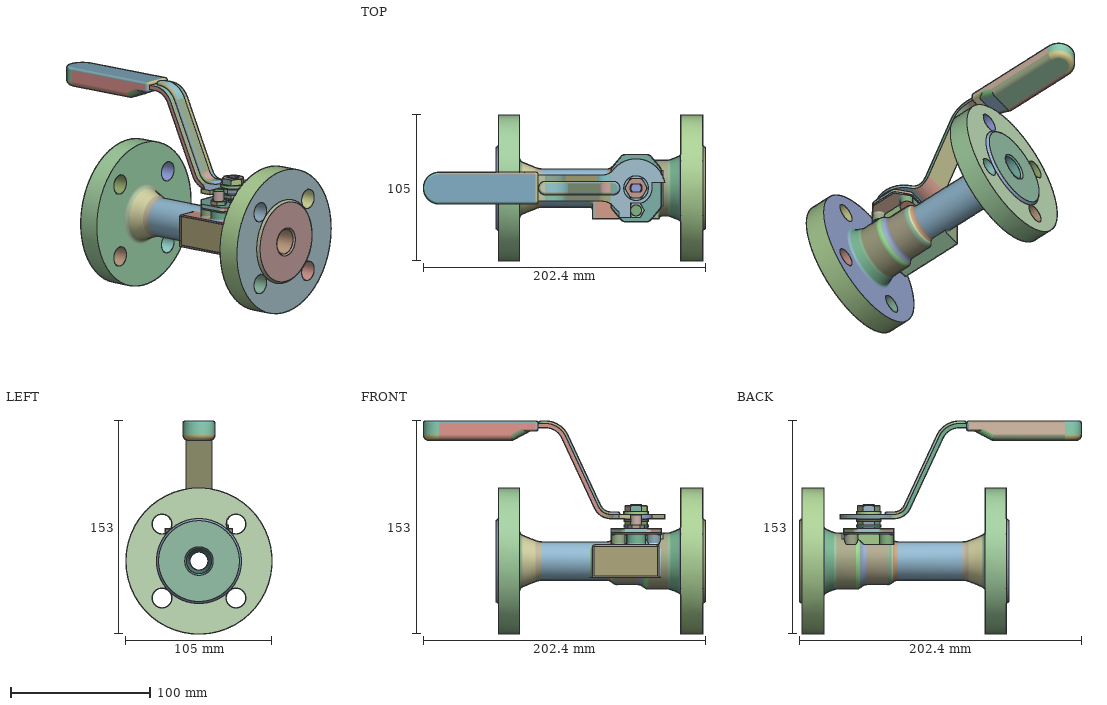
import cadquery as cq
import math


FLANGE_DIAMETER = 105.0
RAISED_FACE_DIAMETER = 58.0
RAISED_FACE_HEIGHT = 1.9
RAISED_FACE_FLARE = 1.5
RIGHT_FACE_X = 49.8
FACE_TO_FACE = 150.4
LEFT_FACE_X = RIGHT_FACE_X - FACE_TO_FACE
LEFT_FLANGE_BACK_X = -83.5
RIGHT_FLANGE_BACK_X = 32.0
BOLT_CIRCLE_DIAMETER = 75.0
BOLT_HOLE_DIAMETER = 14.0
BOLT_COUNT = 4

PIPE_DIAMETER = 27.7
MIDDLE_DIAMETER = 34.0
RIGHT_BODY_DIAMETER = 40.3
HUB_ANGLE = 22.0
LEFT_ROOT_FILLET = 3.5
RIGHT_ROOT_FILLET = 2.5
LEFT_HUB_END_X = -69.7
LEFT_HUB_FILLET = 12.0
RIGHT_HUB_START_X = 23.9
RIGHT_HUB_FILLET = 5.0
MIDDLE_RAMP_X = (-19.0, -15.2)
RIGHT_RAMP_X = (3.2, 7.3)
RAMP_FILLET = 5.0

BORE_DIAMETER = 12.78
BORE_MOUTH_DIAMETER = 18.1
BORE_CHAMFER = 1.2
BORE_TAPER_LENGTH = 60.0

BLOCK_X = (-31.4, 16.6)
BLOCK_Z = (-11.9, 11.7)
BLOCK_FRONT_Y = -22.1
BLOCK_TOP_FILLET = 2.0
BLOCK_ROOT_FILLET = 1.5
NAMEPLATE_MARGIN = 1.2
NAMEPLATE_DEPTH = 0.4

PLATE_HALF_X = 18.1
PLATE_HALF_Y = 24.2
PLATE_CORNER_X = 9.6
PLATE_CORNER_Y = 14.0
PLATE_CORNER_ROUND = 4.0
PLATE_EDGE_HEIGHT = 1.1
PLATE_EDGE_INSET = 0.5
PLATE_BOTTOM_Z = 19.3
PLATE_TOP_Z = 23.2
POST_OFFSET = 12.7
PAD_LEDGE_X = 19.3
PAD_LEDGE_TOP_Z = 20.3
POST_RADIUS = 4.9
STOP_BOSS_DIAMETER = 13.6
STOP_BOSS_Y = -14.0
POST_FLARE = 1.1

STOP_PIN_Y = -16.0
STOP_PIN_DIAMETER = 7.92
STOP_PIN_TOP_Z = 33.2
STOP_HEX_FLATS = 10.3
STOP_HEX_TOP_Z = 25.9

STEM_NUT_FLATS = 14.0
NUT_TOP_Z = 39.8
NUT_CHAMFER = 0.6
SPRING_WASHER_DIAMETER = 17.6
SPRING_WASHER_Z = ((24.6, 25.7), (28.5, 29.6))
TOP_WASHER_DIAMETER = 17.7
TOP_WASHER_HEIGHT = 2.1
STEM_DIAMETER = 9.5
STEM_FLATS = 5.6
STEM_TOP_Z = 40.4
STEM_CHAMFER = 1.0

OVERALL_LENGTH = 202.37
OVERALL_HEIGHT = 153.04
GRIP_TOP_Z = OVERALL_HEIGHT - FLANGE_DIAMETER / 2
GRIP_LEFT_X = RIGHT_FACE_X - OVERALL_LENGTH
GRIP_RIGHT_X = -70.2
GRIP_WIDTH = 23.0
GRIP_BOTTOM_Z = 86.5
GRIP_RAMP_X = (-88.7, -76.0)
GRIP_NECK_Z = 93.2
GRIP_TOP_FILLET = 1.8
GRIP_END_FILLET = 1.9
GRIP_NECK_FILLET = 1.5
GRIP_BOTTOM_FILLET = 4.0

LEVER_THICKNESS = 3.1
LEVER_WIDTH = 18.8
LEVER_ANGLE = 65.0
LEVER_BASE_TOP_Z = 33.4
RIB_HEIGHT = 1.9
RIB_WIDTH = 9.8
RIB_X = (-69.9, -11.6)
RIB_FILLET = 1.6
LEVER_END_TOP_Z = GRIP_TOP_Z - RIB_HEIGHT
LOWER_BEND_X = -18.0
LOWER_BEND_RADIUS = 10.0
UPPER_BEND_RADIUS = 16.0

HEAD_RADIUS = 21.0
HEAD_BLEND_RADIUS = 10.0
HEAD_STEP_Y = 4.0
HEAD_INNER_RADIUS = 11.4
HEAD_INNER_Y = -10.7
STOP_TAB_X = (-12.2, -3.9)
STOP_TAB_Y = -21.1


def box_between(x_range, y_range, z_range):
    """Box spanning the given coordinate ranges."""
    size = [high - low for low, high in (x_range, y_range, z_range)]
    corner = (x_range[0], y_range[0], z_range[0])
    return cq.Workplane("XY").box(*size, centered=False).translate(corner)


def cylinder(diameter, z_range, x=0.0, y=0.0):
    """Vertical cylinder between two heights."""
    base = cq.Workplane("XY", origin=(x, y, z_range[0]))
    return base.circle(diameter / 2).extrude(z_range[1] - z_range[0])


def across_corners(flats):
    """Size of a hexagon across its corners from its size across the flats."""
    return flats / math.cos(math.radians(30))


def hexagon(flats, z_range, y=0.0):
    """Vertical hexagonal prism with corners pointing along X."""
    base = cq.Workplane("XY", origin=(0, y, z_range[0]))
    return base.polygon(6, across_corners(flats)).extrude(z_range[1] - z_range[0])


def round_corner(before, corner, after, radius):
    """Start, middle and end points of the arc that rounds a corner of a polyline."""
    to_before = (cq.Vector(*before) - cq.Vector(*corner)).normalized()
    to_after = (cq.Vector(*after) - cq.Vector(*corner)).normalized()
    half_angle = to_before.getAngle(to_after) / 2
    setback = radius / math.tan(half_angle)
    bisector = (to_before + to_after).normalized()
    start = cq.Vector(*corner) + to_before * setback
    end = cq.Vector(*corner) + to_after * setback
    middle = cq.Vector(*corner) + bisector * (radius / math.sin(half_angle) - radius)
    return [(point.x, point.y) for point in (start, middle, end)]


def rounded_outline(corners):
    """Closed outline in XY from (x, y, corner radius) entries; radius 0 keeps the corner sharp."""
    points = [corner[:2] for corner in corners]
    outline = cq.Workplane("XY").moveTo(*points[0])
    for index in range(1, len(corners)):
        radius = corners[index][2]
        if radius == 0:
            outline = outline.lineTo(*points[index])
            continue
        following = points[(index + 1) % len(points)]
        start, middle, end = round_corner(points[index - 1], points[index], following, radius)
        outline = outline.lineTo(*start).threePointArc(middle, end)
    return outline.close()


def make_body():
    """Both flanges, their hubs and the stepped pipe, turned about the X axis."""
    slope = math.tan(math.radians(HUB_ANGLE))
    flange_r = FLANGE_DIAMETER / 2
    face_r = RAISED_FACE_DIAMETER / 2
    flared_r = face_r + RAISED_FACE_FLARE
    pipe_r = PIPE_DIAMETER / 2
    middle_r = MIDDLE_DIAMETER / 2
    right_r = RIGHT_BODY_DIAMETER / 2
    left_root_r = pipe_r + (LEFT_HUB_END_X - LEFT_FLANGE_BACK_X) * slope
    right_root_r = right_r + (RIGHT_FLANGE_BACK_X - RIGHT_HUB_START_X) * slope
    left_flange_x = LEFT_FACE_X + RAISED_FACE_HEIGHT
    right_flange_x = RIGHT_FACE_X - RAISED_FACE_HEIGHT
    profile = rounded_outline([
        (LEFT_FACE_X, 0, 0),
        (LEFT_FACE_X, face_r, 0),
        (left_flange_x, flared_r, 0),
        (left_flange_x, flange_r, 0),
        (LEFT_FLANGE_BACK_X, flange_r, 0),
        (LEFT_FLANGE_BACK_X, left_root_r, LEFT_ROOT_FILLET),
        (LEFT_HUB_END_X, pipe_r, LEFT_HUB_FILLET),
        (MIDDLE_RAMP_X[0], pipe_r, RAMP_FILLET),
        (MIDDLE_RAMP_X[1], middle_r, RAMP_FILLET),
        (RIGHT_RAMP_X[0], middle_r, RAMP_FILLET),
        (RIGHT_RAMP_X[1], right_r, RAMP_FILLET),
        (RIGHT_HUB_START_X, right_r, RIGHT_HUB_FILLET),
        (RIGHT_FLANGE_BACK_X, right_root_r, RIGHT_ROOT_FILLET),
        (RIGHT_FLANGE_BACK_X, flange_r, 0),
        (right_flange_x, flange_r, 0),
        (right_flange_x, flared_r, 0),
        (RIGHT_FACE_X, face_r, 0),
        (RIGHT_FACE_X, 0, 0),
    ])
    return profile.revolve(360, (0, 0, 0), (1, 0, 0))


def make_bore():
    """Through bore that narrows from a chamfered mouth at each end."""
    bore_r = BORE_DIAMETER / 2
    mouth_r = BORE_MOUTH_DIAMETER / 2
    profile = cq.Workplane("XY").polyline([
        (LEFT_FACE_X, 0),
        (LEFT_FACE_X, mouth_r + BORE_CHAMFER),
        (LEFT_FACE_X + BORE_CHAMFER, mouth_r),
        (LEFT_FACE_X + BORE_TAPER_LENGTH, bore_r),
        (RIGHT_FACE_X - BORE_TAPER_LENGTH, bore_r),
        (RIGHT_FACE_X - BORE_CHAMFER, mouth_r),
        (RIGHT_FACE_X, mouth_r + BORE_CHAMFER),
        (RIGHT_FACE_X, 0),
    ]).close()
    return profile.revolve(360, (0, 0, 0), (1, 0, 0))


def make_bolt_holes():
    """Flange bolt holes, straddling the vertical centre line."""
    holes = cq.Workplane("YZ", origin=(LEFT_FACE_X, 0, 0))
    holes = holes.polarArray(BOLT_CIRCLE_DIAMETER / 2, 180 / BOLT_COUNT, 360, BOLT_COUNT)
    return holes.circle(BOLT_HOLE_DIAMETER / 2).extrude(FACE_TO_FACE)


def make_nameplate_block():
    """Rectangular block on the -Y side with a shallow recess in its front face."""
    block = box_between(BLOCK_X, (BLOCK_FRONT_Y, 0), BLOCK_Z)
    block = block.faces(">Z").edges("|Y").fillet(BLOCK_TOP_FILLET)
    recess = box_between(
        (BLOCK_X[0] + NAMEPLATE_MARGIN, BLOCK_X[1] - NAMEPLATE_MARGIN),
        (BLOCK_FRONT_Y, BLOCK_FRONT_Y + NAMEPLATE_DEPTH),
        (BLOCK_Z[0] + NAMEPLATE_MARGIN, BLOCK_Z[1] - NAMEPLATE_MARGIN),
    )
    return block.cut(recess)


def make_flanged_body():
    """Turned body with its nameplate block blended in, its bore and its flange bolt holes."""
    body = make_body().union(make_nameplate_block())
    for end_x in BLOCK_X:
        end_box = cq.selectors.BoxSelector(
            (end_x - BLOCK_TOP_FILLET, BLOCK_FRONT_Y + BLOCK_ROOT_FILLET, BLOCK_Z[0]),
            (end_x + BLOCK_TOP_FILLET, 0, BLOCK_Z[1]),
        )
        body = body.edges(end_box).edges("%CIRCLE or %BSPLINE").fillet(BLOCK_ROOT_FILLET)
    return body.cut(make_bore()).cut(make_bolt_holes())


def flare(diameter, x, y, z, direction):
    """Concave collar blending a post into a flat face, above it (direction +1) or below it (-1)."""
    post_r = diameter / 2
    arc_depth = POST_FLARE * (1 - math.sqrt(0.5))
    profile = (
        cq.Workplane("XZ")
        .lineTo(post_r + POST_FLARE, 0)
        .threePointArc((post_r + arc_depth, direction * arc_depth), (post_r, direction * POST_FLARE))
        .lineTo(0, direction * POST_FLARE)
        .close()
    )
    return profile.revolve(360, (0, 0, 0), (0, 1, 0)).translate((x, y, z))


def plate_prism(z_range):
    """Vertical prism over the eight-sided, corner-rounded outline of the stop plate."""
    upper_right = [(PLATE_HALF_X, PLATE_CORNER_Y), (PLATE_CORNER_X, PLATE_HALF_Y)]
    right = [(x, -y) for x, y in reversed(upper_right)] + upper_right
    corners = right + [(-x, -y) for x, y in right]
    base = cq.Workplane("XY", origin=(0, 0, z_range[0])).polyline(corners).close()
    return base.extrude(z_range[1] - z_range[0]).edges("|Z").fillet(PLATE_CORNER_ROUND)


def make_mounting_pad():
    """Pad with four corner posts and a boss for the stop bolt, carrying the stop plate."""
    pad_z = (BLOCK_Z[1], PLATE_BOTTOM_Z)
    pad = box_between((-PLATE_HALF_X, PLATE_HALF_X), (-POST_OFFSET, POST_OFFSET), pad_z)
    post_diameter = 2 * POST_RADIUS
    columns = [(STOP_BOSS_DIAMETER, 0, STOP_BOSS_Y)]
    for side_x in (-1, 1):
        for side_y in (-1, 1):
            columns.append((post_diameter, side_x * POST_OFFSET, side_y * POST_OFFSET))
    for diameter, x, y in columns:
        pad = pad.union(cylinder(diameter, pad_z, x, y))
        pad = pad.union(flare(diameter, x, y, PLATE_BOTTOM_Z, -1))
        if y < 0:
            pad = pad.union(flare(diameter, x, y, BLOCK_Z[1], 1))
    pad = pad.intersect(plate_prism(pad_z))

    ledge_z = (BLOCK_Z[1], PAD_LEDGE_TOP_Z)
    ledge = box_between((0, PAD_LEDGE_X), (-POST_OFFSET, POST_OFFSET), ledge_z)
    plate = plate_prism((PLATE_BOTTOM_Z, PLATE_TOP_Z))
    plate = plate.faces("<Z").chamfer(PLATE_EDGE_HEIGHT, PLATE_EDGE_INSET)
    return pad.union(ledge).union(plate)


def make_stop_bolt():
    """Hexagon-collared pin that limits the swing of the lever."""
    collar = hexagon(STOP_HEX_FLATS, (PLATE_BOTTOM_Z, STOP_HEX_TOP_Z), STOP_PIN_Y)
    return collar.union(cylinder(STOP_PIN_DIAMETER, (PLATE_BOTTOM_Z, STOP_PIN_TOP_Z), 0, STOP_PIN_Y))


def make_stem():
    """Stem with two flats, its nuts and its washers."""
    nut_z = (PLATE_BOTTOM_Z, NUT_TOP_Z)
    nut_envelope = cylinder(across_corners(STEM_NUT_FLATS), nut_z).faces(">Z").chamfer(NUT_CHAMFER)
    nut = hexagon(STEM_NUT_FLATS, nut_z).intersect(nut_envelope)
    washer_top_z = LEVER_BASE_TOP_Z + TOP_WASHER_HEIGHT
    stem = nut.union(cylinder(TOP_WASHER_DIAMETER, (LEVER_BASE_TOP_Z, washer_top_z)))
    for z_range in SPRING_WASHER_Z:
        stem = stem.union(cylinder(SPRING_WASHER_DIAMETER, z_range))
    tip = cylinder(STEM_DIAMETER, (PLATE_TOP_Z, STEM_TOP_Z)).faces(">Z").chamfer(STEM_CHAMFER)
    flats_y = (-STEM_FLATS / 2, STEM_FLATS / 2)
    tip = tip.intersect(box_between((-STEM_DIAMETER, STEM_DIAMETER), flats_y, (0, STEM_TOP_Z)))
    return stem.union(tip)


def lever_band(bottom_offset, top_offset, x_range):
    """Bent strip between two offsets from the upper lever surface, wider than the lever head."""
    angle = math.radians(LEVER_ANGLE)
    lower_center = (LOWER_BEND_X, LEVER_BASE_TOP_Z + LOWER_BEND_RADIUS)
    upper_center_z = LEVER_END_TOP_Z - UPPER_BEND_RADIUS
    radius_sum = LOWER_BEND_RADIUS + UPPER_BEND_RADIUS
    center_rise = upper_center_z - lower_center[1]
    straight_rise = center_rise + radius_sum * math.cos(angle)
    center_run = radius_sum * math.sin(angle) + straight_rise / math.tan(angle)
    upper_center = (LOWER_BEND_X - center_run, upper_center_z)

    def on_bend(center, radius, turn):
        return (center[0] + radius * math.sin(turn), center[1] + radius * math.cos(turn))

    def bend_points(offset):
        upper = [on_bend(upper_center, UPPER_BEND_RADIUS + offset, turn) for turn in (0, angle / 2, angle)]
        turns = (math.pi + angle, math.pi + angle / 2, math.pi)
        lower = [on_bend(lower_center, LOWER_BEND_RADIUS - offset, turn) for turn in turns]
        return upper, lower

    top_upper, top_lower = bend_points(top_offset)
    bottom_upper, bottom_lower = bend_points(bottom_offset)
    left_x, right_x = x_range
    side = (
        cq.Workplane("XZ")
        .moveTo(left_x, LEVER_END_TOP_Z + top_offset)
        .lineTo(*top_upper[0])
        .threePointArc(*top_upper[1:])
        .lineTo(*top_lower[0])
        .threePointArc(*top_lower[1:])
        .lineTo(right_x, LEVER_BASE_TOP_Z + top_offset)
        .lineTo(right_x, LEVER_BASE_TOP_Z + bottom_offset)
        .lineTo(*bottom_lower[2])
        .threePointArc(bottom_lower[1], bottom_lower[0])
        .lineTo(*bottom_upper[2])
        .threePointArc(bottom_upper[1], bottom_upper[0])
        .lineTo(left_x, LEVER_END_TOP_Z + bottom_offset)
        .close()
    )
    return side.extrude(2 * HEAD_RADIUS, both=True)


def on_circle(radius, x=None, y=None, sign=1):
    """Point on a circle about the stem with one given coordinate; sign picks the other one's side."""
    if y is None:
        return (x, sign * math.sqrt(radius**2 - x**2))
    return (sign * math.sqrt(radius**2 - y**2), y)


def make_lever():
    """Bent lever whose round head is cut away to leave room for the stop bolt, plus its stiffening rib."""
    half_width = LEVER_WIDTH / 2
    blend_y = half_width + HEAD_BLEND_RADIUS
    reach = HEAD_RADIUS + HEAD_BLEND_RADIUS
    blend_x = -math.sqrt(reach**2 - blend_y**2)
    touch = (blend_x * HEAD_RADIUS / reach, blend_y * HEAD_RADIUS / reach)
    middle_turn = (math.atan2(touch[1] - blend_y, touch[0] - blend_x) - math.pi / 2) / 2
    blend_middle = (
        blend_x + HEAD_BLEND_RADIUS * math.cos(middle_turn),
        blend_y + HEAD_BLEND_RADIUS * math.sin(middle_turn),
    )
    grip_inside_x = GRIP_RAMP_X[1]
    tab_start = on_circle(HEAD_RADIUS, x=STOP_TAB_X[0], sign=-1)
    tab_middle_x = (touch[0] + tab_start[0]) / 2
    inner_end = on_circle(HEAD_INNER_RADIUS, y=HEAD_INNER_Y)
    inner_middle_angle = math.atan2(inner_end[1], inner_end[0]) / 2
    inner_middle = (
        HEAD_INNER_RADIUS * math.cos(inner_middle_angle),
        HEAD_INNER_RADIUS * math.sin(inner_middle_angle),
    )
    plan = (
        cq.Workplane("XY")
        .moveTo(grip_inside_x, half_width)
        .lineTo(blend_x, half_width)
        .threePointArc(blend_middle, touch)
        .threePointArc((0, HEAD_RADIUS), on_circle(HEAD_RADIUS, y=HEAD_STEP_Y))
        .lineTo(HEAD_INNER_RADIUS, HEAD_STEP_Y)
        .lineTo(HEAD_INNER_RADIUS, 0)
        .threePointArc(inner_middle, inner_end)
        .lineTo(STOP_TAB_X[1], HEAD_INNER_Y)
        .lineTo(STOP_TAB_X[1], STOP_TAB_Y)
        .lineTo(STOP_TAB_X[0], STOP_TAB_Y)
        .lineTo(*tab_start)
        .threePointArc(on_circle(HEAD_RADIUS, x=tab_middle_x, sign=-1), (touch[0], -touch[1]))
        .threePointArc((blend_middle[0], -blend_middle[1]), (blend_x, -half_width))
        .lineTo(grip_inside_x, -half_width)
        .close()
        .extrude(GRIP_TOP_Z)
    )
    strip = lever_band(-LEVER_THICKNESS, 0, (grip_inside_x, HEAD_RADIUS)).intersect(plan)

    rib_length = RIB_X[1] - RIB_X[0]
    rib_plan = cq.Workplane("XY").center(sum(RIB_X) / 2, 0).slot2D(rib_length, RIB_WIDTH)
    rib_plan = rib_plan.extrude(OVERALL_HEIGHT)
    rib = lever_band(-LEVER_THICKNESS, RIB_HEIGHT, RIB_X).intersect(rib_plan)
    rib = rib.faces(">Z").edges("|X").fillet(RIB_FILLET)
    return strip.union(rib)


def grip_outline():
    """Vertical prism over the plan outline of the grip, round at the free end."""
    half_width = GRIP_WIDTH / 2
    round_center_x = GRIP_LEFT_X + half_width
    outline = (
        cq.Workplane("XY")
        .moveTo(GRIP_RIGHT_X, half_width)
        .lineTo(round_center_x, half_width)
        .threePointArc((GRIP_LEFT_X, 0), (round_center_x, -half_width))
        .lineTo(GRIP_RIGHT_X, -half_width)
        .close()
    )
    return outline.extrude(GRIP_TOP_Z)


def make_grip():
    """Sleeve over the end of the lever: a full-length slab with a deeper, ramped part below it."""
    slab_ranges = ((GRIP_LEFT_X, GRIP_RIGHT_X), (-GRIP_WIDTH, GRIP_WIDTH), (GRIP_NECK_Z, GRIP_TOP_Z))
    slab = grip_outline().intersect(box_between(*slab_ranges))
    slab = slab.edges("|Z and >X").fillet(GRIP_END_FILLET)
    slab = slab.faces(">Z").edges().fillet(GRIP_TOP_FILLET)
    slab = slab.faces("<Z").edges("not |Y").fillet(GRIP_NECK_FILLET)

    side = cq.Workplane("XZ").polyline([
        (GRIP_LEFT_X, GRIP_TOP_Z),
        (GRIP_RAMP_X[1], GRIP_TOP_Z),
        (GRIP_RAMP_X[1], GRIP_NECK_Z),
        (GRIP_RAMP_X[0], GRIP_BOTTOM_Z),
        (GRIP_LEFT_X, GRIP_BOTTOM_Z),
    ]).close().extrude(GRIP_WIDTH, both=True)
    deep_part = grip_outline().intersect(side)
    deep_part = deep_part.faces(">Z").edges("not |Y").fillet(GRIP_TOP_FILLET)
    ramp_sides = deep_part.edges("%LINE").edges("not (|X or |Y or |Z)")
    deep_part = deep_part.faces("<Z").edges("not |Y").add(ramp_sides).fillet(GRIP_BOTTOM_FILLET)
    return slab.union(deep_part)


result = (
    make_flanged_body()
    .union(make_mounting_pad())
    .union(make_stop_bolt())
    .union(make_stem())
    .union(make_lever())
    .union(make_grip())
)